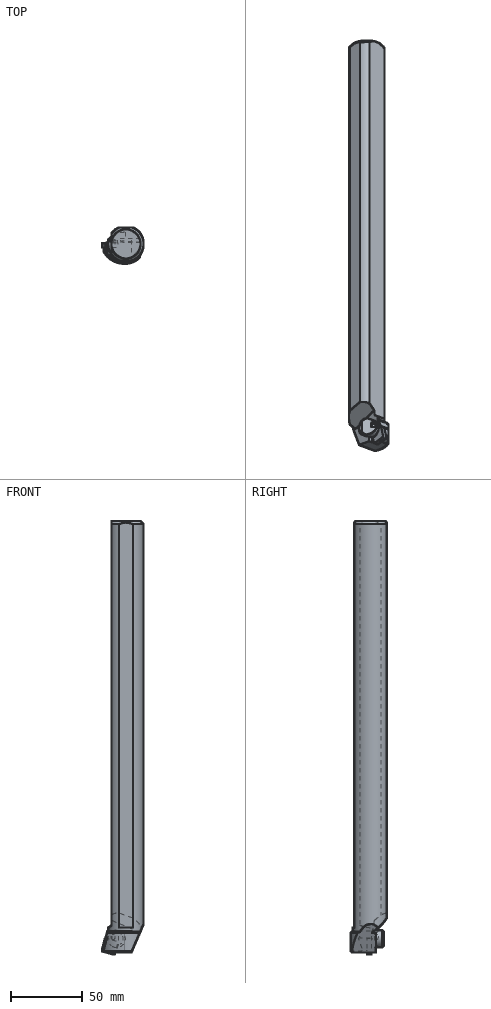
import cadquery as cq
import math


shank_radius = 12.5
overall_length = 303.46
side_flat_x = -10.1
cross_flat_y = 11.5
side_flat_end_z = 20.3
side_runout = 1.6
front_flat_end_z = 18.8
shank_chamfer = 2.3
margin = 60.0

insert_side = 9.525
insert_thickness = 3.18
nose_radius = 0.8
lead_angle = 15.0
rake_face_y = 0.6
cutting_reach = 16.89
lead_sin = math.sin(math.radians(lead_angle))
lead_cos = math.cos(math.radians(lead_angle))
lead_tan = lead_sin / lead_cos

nose_pitch = insert_side - 2 * nose_radius
outer_nose_x = -cutting_reach + nose_radius
outer_nose_z = nose_radius + nose_pitch * lead_sin
insert_centre_x = outer_nose_x + nose_pitch / 2 * (lead_cos + lead_sin)
insert_centre_z = outer_nose_z + nose_pitch / 2 * (lead_cos - lead_sin)

head_front_y = -13.96
head_axis_x = -0.8
wide_radius = 16.9
head_bottom_z = 1.3
head_bottom_chamfer = 1.3
head_top_z = 16.3
shoulder_height = 1.3
shoulder_width = 1.2
relief_angle = 23.4
relief_foot_x = 3.8
recess_top_z = 11.4
side_inset = 0.3
recess_inset = 1.3

floor_tilt = 10.0
floor_start_z = 12.0
gullet_point = (-10.1, 7.2, 27.5)
gullet_slope_x = -0.36
gullet_slope_y = 0.8
backing_x = -6.0
backing_y = 3.7
backing_top_z = 15.0

boss_x = -6.5
boss_z = 11.0
boss_radius = 6.1
boss_top_y = 9.5
boss_edge_chamfer = 1.5
face_centre = (-11.0, 4.2, 12.3)
face_angle = 42.0
socket_diameter = 3.81
socket_depth = 3.0


def box_between(low, high):
    """Axis-aligned box between two opposite corners."""
    size = [b - a for a, b in zip(low, high)]
    return cq.Workplane("XY").box(*size, centered=False).translate(low)


def lead_line_x(z):
    """X of the insert's leaning outer side, continued to height z."""
    edge_x = outer_nose_x - nose_radius * lead_cos
    edge_z = outer_nose_z + nose_radius * lead_sin
    return edge_x + (z - edge_z) * lead_tan


def make_insert():
    return (
        cq.Workplane("XY")
        .box(insert_side, insert_thickness, insert_side)
        .edges("|Y").fillet(nose_radius)
        .rotate((0, 0, 0), (0, 1, 0), lead_angle)
        .translate((insert_centre_x, rake_face_y - insert_thickness / 2, insert_centre_z))
    )


def make_shank():
    shank = (
        cq.Workplane("XY", origin=(0, 0, head_bottom_z))
        .circle(shank_radius)
        .extrude(overall_length - head_bottom_z)
        .faces(">Z").chamfer(shank_chamfer)
    )
    side_waste = (
        cq.Workplane("XZ")
        .moveTo(side_flat_x, overall_length)
        .lineTo(side_flat_x, side_flat_end_z)
        .lineTo(-shank_radius, side_flat_end_z - side_runout)
        .lineTo(-shank_radius, overall_length)
        .close()
        .extrude(margin, both=True)
    )
    front_waste = box_between(
        (-margin, -margin, front_flat_end_z), (margin, -cross_flat_y, overall_length)
    )
    rear_waste = box_between((-margin, cross_flat_y, 0), (margin, margin, overall_length))
    return shank.cut(side_waste).cut(front_waste).cut(rear_waste)


def make_head():
    """Two tangent half-cylinders with a conical shoulder, trimmed by the leaning insert side."""
    halves = []
    for radius, side in ((wide_radius, -1), (-head_front_y, 1)):
        column = (
            cq.Workplane("XY", origin=(head_axis_x, head_front_y + radius, head_bottom_z))
            .circle(radius)
            .extrude(head_top_z - head_bottom_z)
            .faces("<Z").chamfer(head_bottom_chamfer)
            .faces(">Z").chamfer(shoulder_height, shoulder_width)
        )
        keep_x = sorted((head_axis_x, head_axis_x + side * margin))
        halves.append(column.intersect(
            box_between((keep_x[0], -margin, -margin), (keep_x[1], cross_flat_y, margin))
        ))
    head = halves[0].union(halves[1])

    low_corner_x = insert_centre_x
    foot_z = head_bottom_z + (low_corner_x + cutting_reach) * lead_tan
    outline = (
        cq.Workplane("XZ")
        .moveTo(low_corner_x, head_bottom_z)
        .lineTo(lead_line_x(foot_z) + recess_inset, foot_z)
        .lineTo(lead_line_x(recess_top_z) + recess_inset, recess_top_z)
        .lineTo(lead_line_x(recess_top_z) + side_inset, recess_top_z)
        .lineTo(lead_line_x(head_top_z) + side_inset, head_top_z)
        .lineTo(margin, head_top_z)
        .lineTo(margin, head_bottom_z)
        .close()
        .extrude(margin, both=True)
    )
    return head.intersect(outline)


def make_relief():
    """Wedge removed from the side of the bar away from the insert."""
    run = margin * math.tan(math.radians(relief_angle))
    return (
        cq.Workplane("XZ")
        .moveTo(relief_foot_x, head_bottom_z)
        .lineTo(relief_foot_x + run, head_bottom_z + margin)
        .lineTo(relief_foot_x + run, head_bottom_z)
        .close()
        .extrude(margin, both=True)
    )


def make_gullet():
    """Space above the tilted floor and below the inclined end wall, less the backing block."""
    opening = math.tan(math.radians(floor_tilt))
    above_floor = (
        cq.Workplane("YZ")
        .moveTo(rake_face_y, -margin)
        .lineTo(rake_face_y, floor_start_z)
        .lineTo(rake_face_y + margin * opening, floor_start_z + margin)
        .lineTo(margin, floor_start_z + margin)
        .lineTo(margin, -margin)
        .close()
        .extrude(margin, both=True)
    )
    wall = cq.Plane(
        origin=gullet_point, xDir=(1, 0, gullet_slope_x), normal=(gullet_slope_x, gullet_slope_y, -1)
    )
    below_wall = cq.Workplane(wall).rect(4 * margin, 4 * margin).extrude(2 * margin)
    backing = box_between((backing_x, -margin, -margin), (margin, backing_y, backing_top_z))
    return above_floor.intersect(below_wall).cut(backing)


def make_clamp_boss():
    """Round boss with an inclined face that carries the screw socket."""
    boss = (
        cq.Workplane("XZ", origin=(boss_x, boss_top_y, boss_z))
        .circle(boss_radius)
        .extrude(boss_top_y - rake_face_y)
        .faces(">Y").chamfer(boss_edge_chamfer)
    )
    slope = math.radians(face_angle)
    face = cq.Plane(
        origin=face_centre, xDir=(0, 0, 1), normal=(-math.sin(slope), math.cos(slope), 0)
    )
    trim = cq.Workplane(face).rect(margin, margin).extrude(margin)
    socket = cq.Workplane(face).circle(socket_diameter / 2).extrude(-socket_depth)
    return boss.cut(trim).cut(socket)


insert = make_insert()
bar = (
    make_shank()
    .union(make_head())
    .cut(make_relief())
    .cut(make_gullet())
    .union(make_clamp_boss())
    .cut(insert)
)

result = cq.Compound.makeCompound([bar.val(), insert.val()])